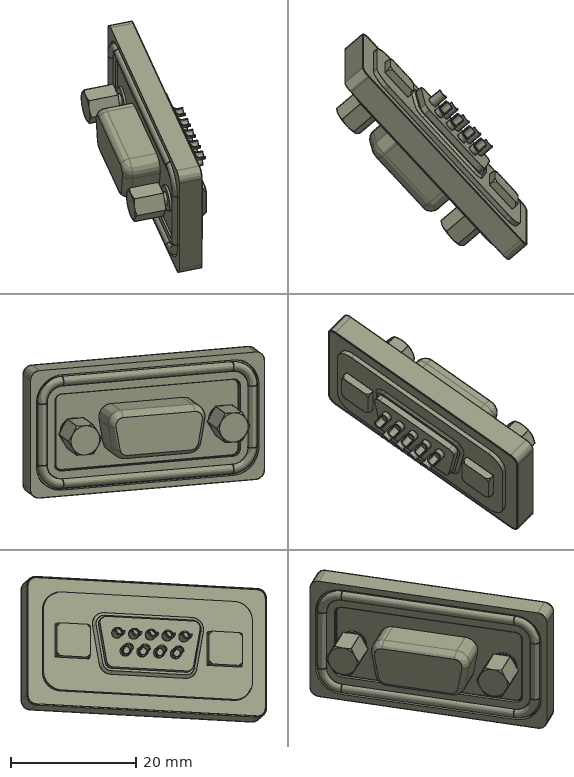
import cadquery as cq
import math


plate_width = 39.4
plate_height = 21.0
plate_corner = 1.5
plate_thickness = 3.8
back_lip_height = 0.08
back_lip_inset = 0.2
plate_back = plate_thickness + back_lip_height

seal_radius = 0.75
seal_protrusion = 0.6
seal_centre_x = 17.7
seal_centre_z = 8.45
seal_corner = 3.3
seal_joint_gap = 0.08
groove_depth = 0.8
groove_outer_reach = 1.05
groove_inner_reach = 0.8

window_width = 31.3
window_height = 12.7
window_corner = 1.22
window_depth = 0.65
flange_width = 30.75
flange_height = 12.45
flange_corner = 1.0
flange_depth = 0.3

side_slope = 10
shell_half_height = 3.98
shell_corner = 2.1
shell_top_half_width = 8.1
shell_front = -5.7
shell_straight_end = -4.25
shell_edge_radius = 1.7

screw_spacing = 25.0
screw_hex_flats = 4.8
screw_chamfer_angle = 60
screw_front = -5.9
screw_hex_length = 5.0
screw_neck_diameter = 2.15
screw_washer_diameter = 4.25
screw_washer_height = 0.4

cover_width = 34.35
cover_height = 16.0
cover_corner = 2.95
cover_back = 4.6
nut_width = 5.5
nut_height = 5.35
nut_back = 5.85
nut_corner_cut = 0.55

rear_half_height = 4.1
rear_corner = 1.02
rear_top_half_width = 8.25
rear_back = 6.03
flare_height = 0.4
flare_base_reach = 0.9
flare_top_reach = 0.4

cup_back = 8.4
cup_diameter = 1.6
cup_bore = 1.2
cup_pitch = 2.75
cup_row_height = 1.4
cup_flat_length = 0.8
cups_in_upper_row = 5
cups_in_lower_row = 4


def plane_at(y, x=0):
    """Sketch plane facing -Y: sketch x is X and sketch y is Z."""
    return cq.Workplane("XZ", origin=(x, y, 0))


def rounded_block(width, height, corner, y_front, y_back):
    """Rectangular block with its four corners along Y rounded."""
    block = plane_at(y_back).rect(width, height).extrude(y_back - y_front)
    return block.edges("|Y").fillet(corner)


def d_block(top_half_width, half_height, corner, y_front, y_back, taper=0):
    """D-shaped block, wide side up; a positive taper shrinks it towards the front."""
    centre_z = half_height - corner
    top_x = top_half_width - corner
    bottom_x = top_x - 2 * centre_z * math.tan(math.radians(side_slope))
    centres = [(-top_x, centre_z), (top_x, centre_z), (bottom_x, -centre_z), (-bottom_x, -centre_z)]
    outline = plane_at(y_back).polyline(centres).close().offset2D(corner)
    return outline.extrude(y_back - y_front, taper=taper)


def groove_ring():
    def ring_block(reach):
        return rounded_block(
            2 * (seal_centre_x + reach),
            2 * (seal_centre_z + reach),
            seal_corner + reach,
            0,
            groove_depth,
        )

    return ring_block(groove_outer_reach).cut(ring_block(-groove_inner_reach))


def seal_cord():
    """Four straight cords and four quarter-round corners with a small gap at each joint."""
    centre_y = seal_radius - seal_protrusion
    straight_x = seal_centre_x - seal_corner
    straight_z = seal_centre_z - seal_corner
    cord_x = straight_x - seal_joint_gap
    cord_z = straight_z - seal_joint_gap
    long_cord = cq.Workplane("YZ", origin=(-cord_x, centre_y, 0)).circle(seal_radius).extrude(2 * cord_x)
    short_cord = cq.Workplane("XY", origin=(0, centre_y, -cord_z)).circle(seal_radius).extrude(2 * cord_z)
    corner = (
        cq.Workplane("XY", origin=(straight_x, centre_y, straight_z))
        .center(seal_corner, 0)
        .circle(seal_radius)
        .revolve(90, (-seal_corner, 0), (-seal_corner, -1))
    )
    right_half = corner.union(corner.mirror("XY")).union(short_cord.translate((seal_centre_x, 0, 0)))
    cord = right_half.union(right_half.mirror("YZ"))
    for side in (-1, 1):
        cord = cord.union(long_cord.translate((0, 0, side * seal_centre_z)))
    return cord


def plate():
    body = rounded_block(plate_width, plate_height, plate_corner, 0, plate_thickness)
    lip = rounded_block(
        plate_width - 2 * back_lip_inset,
        plate_height - 2 * back_lip_inset,
        plate_corner - back_lip_inset,
        plate_thickness,
        plate_back,
    )
    cover = rounded_block(cover_width, cover_height, cover_corner, plate_back, cover_back)
    window = rounded_block(window_width, window_height, window_corner, 0, window_depth)
    flange = rounded_block(flange_width, flange_height, flange_corner, flange_depth, window_depth)
    body = body.union(lip).union(cover).cut(window).union(flange)
    return body.cut(groove_ring()).union(seal_cord())


def front_shell():
    """Shell whose front edge starts to round over but is cut off by the flat front face."""
    full_front = shell_straight_end - shell_edge_radius
    shell = d_block(shell_top_half_width, shell_half_height, shell_corner, full_front, flange_depth)
    shell = shell.faces("<Y").edges().fillet(shell_edge_radius)
    tip = plane_at(shell_front).rect(plate_width, plate_height).extrude(shell_front - full_front)
    return shell.cut(tip)


def jack_screw(x):
    hex_corners = screw_hex_flats / math.cos(math.radians(30))
    hex_back = screw_front + screw_hex_length
    head = plane_at(hex_back, x).polygon(6, hex_corners).extrude(screw_hex_length)
    envelope = (
        plane_at(screw_front, x)
        .circle(screw_hex_flats / 2)
        .extrude(-screw_hex_length, taper=-screw_chamfer_angle)
    )
    neck = plane_at(flange_depth, x).circle(screw_neck_diameter / 2).extrude(flange_depth - hex_back)
    washer = plane_at(flange_depth, x).circle(screw_washer_diameter / 2).extrude(screw_washer_height)
    return head.intersect(envelope).union(neck).union(washer)


def nut(x):
    """Rectangular nut whose four rear corners are cut off equally along all three edges."""
    thickness = nut_back - cover_back
    block = plane_at(nut_back, x).rect(nut_width, nut_height).extrude(thickness)
    across_cuts = math.sqrt(2) * ((nut_width + nut_height) / 2 - nut_corner_cut)
    cut_angle = math.degrees(math.atan(1 / math.sqrt(2)))
    envelope = (
        plane_at(nut_back, x)
        .transformed(rotate=(0, 0, 45))
        .rect(across_cuts, across_cuts)
        .extrude(thickness, taper=-cut_angle)
    )
    return block.intersect(envelope)


def rear_insulator():
    def base_block(reach, y_front, y_back, taper):
        return d_block(
            rear_top_half_width + reach, rear_half_height + reach, rear_corner + reach, y_front, y_back, taper
        )

    flare_angle = math.degrees(math.atan((flare_base_reach - flare_top_reach) / flare_height))
    flare = base_block(flare_top_reach, cover_back, cover_back + flare_height, -flare_angle)
    return base_block(0, cover_back, rear_back, 0).union(flare)


def solder_cup(x, side):
    """Bored pin whose outward half is scooped away at the tip; side is +1 for up, -1 for down."""
    radius = cup_diameter / 2
    scoop_length = cup_flat_length + radius
    scoop_front = cup_back - scoop_length
    pin = plane_at(cup_back).circle(radius).extrude(cup_back - rear_back)
    bore = plane_at(cup_back).circle(cup_bore / 2).extrude(scoop_length)
    scoop = (
        cq.Workplane("YZ", origin=(-radius, 0, 0))
        .moveTo(cup_back, 0)
        .lineTo(cup_back, radius)
        .lineTo(scoop_front, radius)
        .radiusArc((scoop_front + radius, 0), -radius)
        .close()
        .extrude(2 * radius)
    )
    cup = pin.cut(bore).cut(scoop)
    if side < 0:
        cup = cup.mirror("XY")
    return cup.translate((x, 0, side * cup_row_height))


def solder_cup_row(count, side):
    first_x = -(count - 1) * cup_pitch / 2
    return [solder_cup(first_x + index * cup_pitch, side) for index in range(count)]


result = plate().union(front_shell()).union(rear_insulator())
for screw_x in (-screw_spacing / 2, screw_spacing / 2):
    result = result.union(jack_screw(screw_x)).union(nut(screw_x))
for cup in solder_cup_row(cups_in_upper_row, 1) + solder_cup_row(cups_in_lower_row, -1):
    result = result.union(cup)